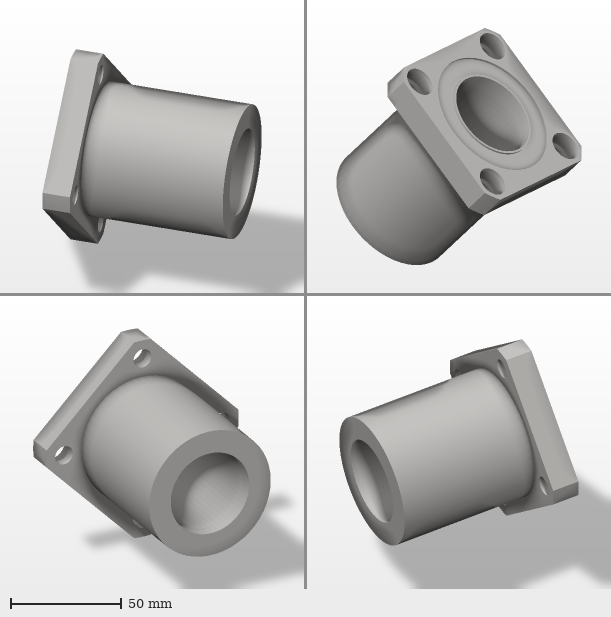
import cadquery as cq

flange_diameter = 98.0
flange_across_flats = 75.1
flange_thickness = 13.0

total_length = 80.0
sleeve_diameter = 61.9
bore_diameter = 40.0

face_recess_diameter = 60.0
lip_diameter = 42.0
face_recess_depth = 1.0

bolt_circle_diameter = 80.0
bolt_hole_diameter = 9.0
counterbore_diameter = 14.0
counterbore_depth = 8.0
bolt_count = 4


def cylinder(diameter, start, length):
    """Cylinder along +X whose near end lies at x = start."""
    return cq.Workplane("YZ", origin=(start, 0, 0)).circle(diameter / 2).extrude(length)


def make_flange():
    square = (
        cq.Workplane("YZ")
        .rect(flange_across_flats, flange_across_flats)
        .extrude(flange_thickness)
        .rotate((0, 0, 0), (1, 0, 0), 45)
    )
    return square.intersect(cylinder(flange_diameter, 0, flange_thickness))


def bolt_holes(diameter, depth):
    """Cutters on the bolt circle, running from the flange face to the given depth."""
    return (
        cq.Workplane("YZ")
        .polarArray(bolt_circle_diameter / 2, 0, 360, bolt_count)
        .circle(diameter / 2)
        .extrude(depth)
    )


def face_recess():
    """Ring-shaped cutter that leaves the bore lip standing."""
    ring = cylinder(face_recess_diameter, 0, face_recess_depth)
    return ring.cut(cylinder(lip_diameter, 0, face_recess_depth))


body = make_flange().union(cylinder(sleeve_diameter, 0, total_length))
body = body.cut(cylinder(bore_diameter, 0, total_length))
body = body.cut(face_recess())
body = body.cut(bolt_holes(bolt_hole_diameter, flange_thickness))
body = body.cut(bolt_holes(counterbore_diameter, counterbore_depth))

result = body